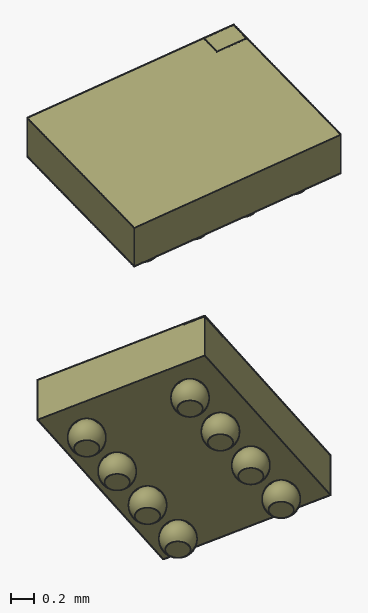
import cadquery as cq

BODY_X = 1.62
BODY_Y = 2.07
TOTAL_HEIGHT = 0.68
STANDOFF = 0.24
BODY_HEIGHT = TOTAL_HEIGHT - STANDOFF

MARKER_X = 0.2
MARKER_Y = 0.3
MARKER_DEPTH = 0.01

BALL_DIAMETER = 0.32
BALL_COLUMNS = 2
BALL_ROWS = 4
COLUMN_PITCH = 1.0
ROW_PITCH = 0.5


def make_marker():
    return (
        cq.Workplane("XY")
        .box(MARKER_X, MARKER_Y, MARKER_DEPTH, centered=False)
        .translate((-BODY_X / 2, BODY_Y / 2 - MARKER_Y, TOTAL_HEIGHT - MARKER_DEPTH))
    )


def make_body(marker):
    block = (
        cq.Workplane("XY")
        .workplane(offset=STANDOFF)
        .box(BODY_X, BODY_Y, BODY_HEIGHT, centered=(True, True, False))
    )
    return block.cut(marker)


def make_ball(x, y):
    sphere = cq.Workplane("XY").sphere(BALL_DIAMETER / 2).translate((0, 0, STANDOFF / 2))
    slab = cq.Workplane("XY").box(BALL_DIAMETER, BALL_DIAMETER, STANDOFF, centered=(True, True, False))
    return sphere.intersect(slab).translate((x, y, 0))


def centred_position(index, count, pitch):
    return (index - (count - 1) / 2) * pitch


marker = make_marker()
body = make_body(marker)
balls = [
    make_ball(
        centred_position(column, BALL_COLUMNS, COLUMN_PITCH),
        centred_position(row, BALL_ROWS, ROW_PITCH),
    )
    for column in range(BALL_COLUMNS)
    for row in range(BALL_ROWS)
]

result = cq.Compound.makeCompound([body.val(), marker.val(), *[ball.val() for ball in balls]])